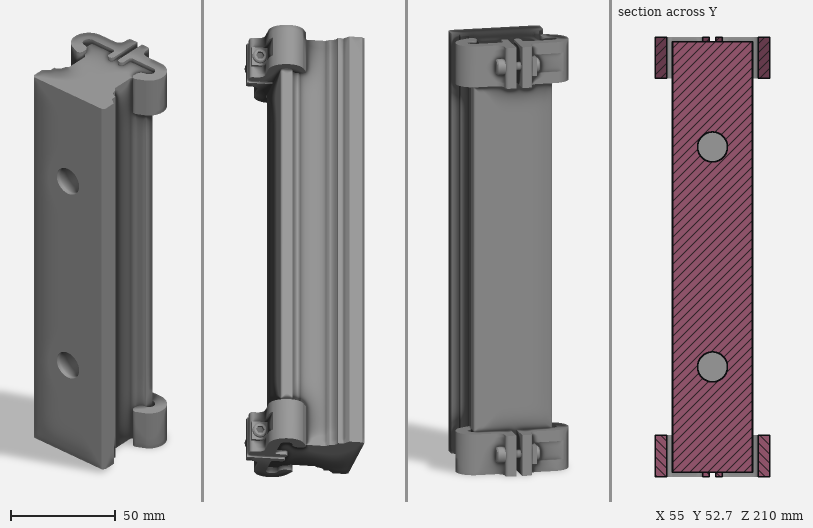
import cadquery as cq
import math


total_length = 210.0
clamp_overhang = 2.0
clamp_length = 20.0
rail_length = total_length - 2 * clamp_overhang

base_half_width = 22.5
base_chamfer = 1.3
base_side_top = 7.4
shoulder_bottom = 9.7
head_half_width = 19.3
neck_half_width = 14.3
groove_radius = 3.46
lower_groove_y = 16.0
upper_groove_y = 31.0
groove_inner_x = head_half_width - groove_radius
neck_taper_height = 1.7

strip_top = 40.1
strip_thickness = 0.32
strip_edge_y = 37.8
strip_corner_radius = 1.0
strip_inner_half_width = head_half_width - strip_thickness
strip_inner_top = strip_top - strip_thickness
strip_inner_radius = strip_corner_radius - strip_thickness

mounting_hole_diameter = 14.0
mounting_hole_pitch = 105.0

clamp_half_width = 27.5
arm_thickness = 5.7
hook_outer_radius = 8.6
hook_inner_radius = hook_outer_radius - arm_thickness
hook_x = clamp_half_width - hook_outer_radius
groove_crown_y = upper_groove_y + groove_radius
hook_y = groove_crown_y + math.sqrt(hook_inner_radius**2 - (head_half_width - hook_x) ** 2)
arm_top = hook_y + hook_outer_radius
arm_bottom = arm_top - arm_thickness
hook_flat_angle = math.radians(-59)
tip_radius = 2.0
tip_bottom = 27.7

lug_top = 52.7
lug_inner_x = 1.5
lug_outer_x = 6.5
lug_corner_radius = 1.5
lug_root_radius = 3.5
prong_outer_x = 4.8
prong_bottom = 34.0
prong_radius = (prong_outer_x - lug_inner_x) / 2
prong_root_radius = 1.3

screw_y = 48.5
shank_diameter = 4.0
head_diameter = 7.0
nut_diameter = 7.8
screw_end_x = 10.5
screw_end_chamfer = 0.6
socket_corner_diameter = 4.0
socket_depth = 1.7
seat_height = 7.5
seat_width = 9.0
seat_outer_x = 8.6


def point_on_circle(center_x, center_y, radius, angle):
    return center_x + radius * math.cos(angle), center_y + radius * math.sin(angle)


def make_rail():
    groove_diagonal = groove_radius * math.sqrt(0.5)
    outline = (
        cq.Workplane("XY")
        .lineTo(base_half_width - base_chamfer, 0)
        .lineTo(base_half_width, base_chamfer)
        .lineTo(base_half_width, base_side_top)
        .lineTo(head_half_width, shoulder_bottom)
        .lineTo(head_half_width, lower_groove_y - groove_radius)
        .threePointArc(
            (head_half_width - groove_diagonal, lower_groove_y - groove_diagonal),
            (groove_inner_x, lower_groove_y),
        )
        .lineTo(neck_half_width, lower_groove_y + neck_taper_height)
        .lineTo(neck_half_width, upper_groove_y - neck_taper_height)
        .lineTo(groove_inner_x, upper_groove_y)
        .threePointArc(
            (head_half_width - groove_diagonal, upper_groove_y + groove_diagonal),
            (head_half_width, groove_crown_y),
        )
        .lineTo(head_half_width, strip_edge_y)
        .lineTo(strip_inner_half_width, strip_edge_y)
        .lineTo(strip_inner_half_width, strip_inner_top - strip_inner_radius)
        .radiusArc((strip_inner_half_width - strip_inner_radius, strip_inner_top), -strip_inner_radius)
        .lineTo(0, strip_inner_top)
        .mirrorY()
    )
    holes = (
        cq.Workplane("XZ")
        .rarray(2, mounting_hole_pitch, 1, 2)
        .circle(mounting_hole_diameter / 2)
        .extrude(-strip_inner_top)
    )
    return outline.extrude(rail_length / 2, both=True).cut(holes)


def make_cover_strip():
    def folded_block(half_width, top, corner_radius):
        height = top - strip_edge_y
        return (
            cq.Workplane("XY")
            .box(2 * half_width, height, rail_length)
            .translate((0, top - height / 2, 0))
            .edges("|Z and >Y")
            .fillet(corner_radius)
        )

    outside = folded_block(head_half_width, strip_top, strip_corner_radius)
    return outside.cut(folded_block(strip_inner_half_width, strip_inner_top, strip_inner_radius))


def make_clamp_half():
    """Arm, hook and lug on the +X side, with the outer end at Z = 0 and the clamp below it."""
    tip_x = groove_inner_x + tip_radius
    tip_y = tip_bottom + tip_radius
    flat_start = point_on_circle(hook_x, hook_y, hook_outer_radius, hook_flat_angle)
    flat_end = point_on_circle(tip_x, tip_y, tip_radius, hook_flat_angle)
    tip_middle = point_on_circle(tip_x, tip_y, tip_radius, (hook_flat_angle - math.pi) / 2)
    groove_middle = point_on_circle(head_half_width, upper_groove_y, groove_radius, 0.75 * math.pi)
    return (
        cq.Workplane("XY")
        .moveTo(lug_inner_x, arm_bottom)
        .lineTo(hook_x, arm_bottom)
        .threePointArc((hook_x + hook_inner_radius, hook_y), (head_half_width, groove_crown_y))
        .threePointArc(groove_middle, (groove_inner_x, upper_groove_y))
        .lineTo(groove_inner_x, tip_y)
        .threePointArc(tip_middle, flat_end)
        .lineTo(*flat_start)
        .threePointArc((hook_x + hook_outer_radius, hook_y), (hook_x, arm_top))
        .lineTo(lug_outer_x + lug_root_radius, arm_top)
        .radiusArc((lug_outer_x, arm_top + lug_root_radius), lug_root_radius)
        .lineTo(lug_outer_x, lug_top - lug_corner_radius)
        .radiusArc((lug_outer_x - lug_corner_radius, lug_top), -lug_corner_radius)
        .lineTo(lug_inner_x, lug_top)
        .close()
        .extrude(-clamp_length)
        .union(make_prong())
    )


def make_prong():
    """Round-ended prong that reaches down over the end face of the rail."""
    root_y = arm_bottom - prong_root_radius
    round_y = prong_bottom + prong_radius
    return (
        cq.Workplane("XY")
        .moveTo(lug_inner_x, arm_bottom)
        .lineTo(lug_inner_x, round_y)
        .threePointArc((lug_inner_x + prong_radius, prong_bottom), (prong_outer_x, round_y))
        .lineTo(prong_outer_x, root_y)
        .radiusArc((prong_outer_x + prong_root_radius, arm_bottom), prong_root_radius)
        .close()
        .extrude(-clamp_overhang)
    )


def x_cylinder(diameter, start_x, end_x):
    """Cylinder on the screw axis."""
    return (
        cq.Workplane("YZ", origin=(start_x, screw_y, -clamp_length / 2))
        .circle(diameter / 2)
        .extrude(end_x - start_x)
    )


def make_clamp():
    """Both clamp halves joined by the screw, with the outer end at Z = 0."""
    right_half = make_clamp_half()
    left_half = right_half.mirror("YZ")

    slot_length = clamp_half_width - lug_outer_x
    seat_slot = cq.Workplane("XY").box(slot_length, seat_height, seat_width).translate(
        (-lug_outer_x - slot_length / 2, screw_y, -clamp_length / 2)
    )
    left_half = left_half.cut(seat_slot)

    seat_thickness = seat_outer_x - lug_outer_x
    seat = cq.Workplane("XY").box(seat_thickness, seat_height, seat_width).translate(
        (-lug_outer_x - seat_thickness / 2, screw_y, -clamp_length / 2)
    )
    shank = x_cylinder(shank_diameter, -lug_outer_x, lug_outer_x)
    head = x_cylinder(head_diameter, -seat_outer_x, -screw_end_x).faces("<X").chamfer(screw_end_chamfer)
    nut = x_cylinder(nut_diameter, lug_outer_x, screw_end_x).faces(">X").chamfer(screw_end_chamfer)
    socket = (
        cq.Workplane("YZ", origin=(-screw_end_x, screw_y, -clamp_length / 2))
        .polygon(6, socket_corner_diameter)
        .extrude(socket_depth)
    )
    screw = shank.union(seat).union(head).union(nut).cut(socket)
    return right_half.union(left_half).union(screw)


rail = make_rail()
cover_strip = make_cover_strip()

clamps = []
for end in (1, -1):
    clamp = make_clamp()
    if end < 0:
        clamp = clamp.mirror("XY")
    clamps.append(clamp.translate((0, 0, end * total_length / 2)))

result = cq.Compound.makeCompound([rail.val(), cover_strip.val(), *[clamp.val() for clamp in clamps]])